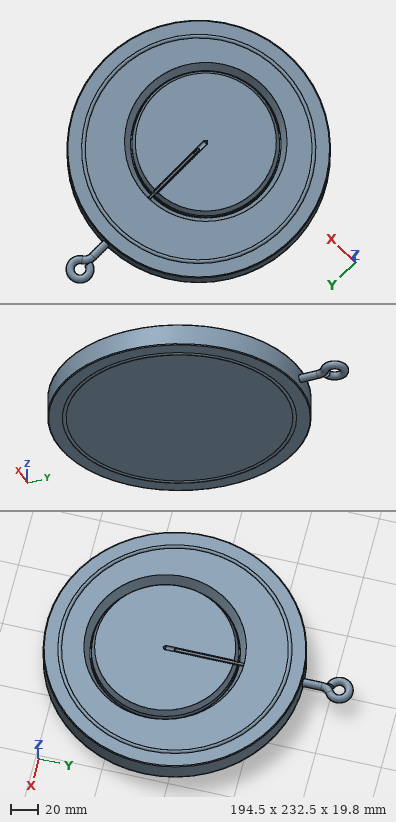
import cadquery as cq
import math

body_radius = 194.5 / 2
body_thickness = 18.0
body_chamfer = 0.7
face_z = body_thickness / 2

overall_thickness = 19.8
seal_section_radius = 1.5
seal_radius = 85.0
seal_z = overall_thickness / 2 - seal_section_radius

flap_y = -7.5
recess_rim_radius = 60.0
recess_bore_radius = 55.5
recess_taper_depth = 8.1
recess_depth = 10.5
flap_top_radius = 52.0
flap_base_radius = 109.0 / 2
flap_drop = 0.5
flap_taper_depth = 5.3
flap_top_z = face_z - flap_drop
recess_floor_z = face_z - recess_depth

wire_radius = 2.0 / 2
wire_end_y = -0.5
wire_chamfer = 0.5
wire_embed = 1.2
groove_radius = 1.75
groove_end_y = -7.2
groove_tip_length = 1.9
wire_sink = 0.58
wire_z = flap_top_z - wire_sink

bolt_radius = 6.0 / 2
overall_length = 232.5
eye_radius = 14.6 / 2
eye_y = overall_length - body_radius - eye_radius - bolt_radius
shank_end_y = 111.5
shank_embed = 9.3
eye_end_angle = math.radians(255)


def make_body():
    disc = cq.Workplane("XY").circle(body_radius).extrude(body_thickness)
    disc = disc.translate((0, 0, -face_z)).edges().chamfer(body_chamfer)
    for z in (-seal_z, seal_z):
        seal = cq.Solid.makeTorus(seal_radius, seal_section_radius, cq.Vector(0, 0, z))
        disc = disc.union(cq.Workplane(seal))
    return disc


def make_recess():
    """Annular gap between the tapered recess wall and the tapered flap."""
    taper_end_z = face_z - recess_taper_depth
    recess = (
        cq.Workplane("XZ")
        .moveTo(0, recess_floor_z)
        .lineTo(recess_bore_radius, recess_floor_z)
        .lineTo(recess_bore_radius, taper_end_z)
        .lineTo(recess_rim_radius, face_z)
        .lineTo(0, face_z)
        .close()
        .revolve(360, (0, 0), (0, 1))
    )
    flap = (
        cq.Workplane("XZ")
        .moveTo(0, recess_floor_z)
        .lineTo(flap_base_radius, recess_floor_z)
        .lineTo(flap_base_radius, flap_top_z - flap_taper_depth)
        .lineTo(flap_top_radius, flap_top_z)
        .lineTo(0, flap_top_z)
        .close()
        .revolve(360, (0, 0), (0, 1))
    )
    return recess.cut(flap).translate((0, flap_y, 0))


def make_groove():
    """Horizontal round groove with a tapered tip, open through the flap edge."""
    tip_y = groove_end_y - groove_tip_length
    outlet_y = flap_y + flap_base_radius
    return (
        cq.Workplane("XY")
        .moveTo(0, tip_y)
        .lineTo(groove_radius, groove_end_y)
        .lineTo(groove_radius, outlet_y)
        .lineTo(0, outlet_y)
        .close()
        .revolve(360, (0, 0), (0, 1))
        .translate((0, 0, wire_z))
    )


def make_wire():
    wire_start_y = flap_y + recess_rim_radius + wire_embed
    wire = cq.Workplane("XZ", origin=(0, wire_start_y, wire_z))
    wire = wire.circle(wire_radius).extrude(wire_start_y - wire_end_y)
    wire = wire.faces("<Y").chamfer(wire_chamfer)
    web_height = groove_radius
    web_length = wire_start_y - wire_end_y - wire_chamfer
    web = cq.Workplane("XY").box(wire_radius, web_length, web_height, centered=(True, False, False))
    return wire.union(web.translate((0, wire_end_y + wire_chamfer, wire_z - web_height)))


def make_eye_bolt():
    shank_start_y = body_radius - shank_embed
    shank = cq.Workplane("XZ", origin=(0, shank_end_y, 0))
    shank = shank.circle(bolt_radius).extrude(shank_end_y - shank_start_y)

    eye_rise = eye_y - shank_end_y
    bend_radius = (eye_rise**2 - eye_radius**2) / (2 * eye_radius)
    bend_angle = math.atan2(eye_rise, bend_radius)

    def bend_point(angle):
        return (
            bend_radius * (1 - math.cos(angle)),
            shank_end_y + bend_radius * math.sin(angle),
        )

    neck_path = (
        cq.Workplane("XY")
        .moveTo(0, shank_end_y)
        .threePointArc(bend_point(bend_angle / 2), bend_point(bend_angle))
    )
    neck = cq.Workplane("XZ", origin=(0, shank_end_y, 0)).circle(bolt_radius).sweep(neck_path)

    eye_start_angle = -bend_angle
    section = cq.Workplane("XZ").center(eye_radius, 0).circle(bolt_radius)
    sweep_angle = math.degrees(eye_end_angle - eye_start_angle)
    eye = section.revolve(sweep_angle, (-eye_radius, 0), (-eye_radius, 1))
    eye = eye.rotate((0, 0, 0), (0, 0, 1), math.degrees(eye_start_angle))
    return shank.union(neck).union(eye.translate((0, eye_y, 0)))


result = (
    make_body()
    .cut(make_recess())
    .cut(make_groove())
    .union(make_wire())
    .union(make_eye_bolt())
)